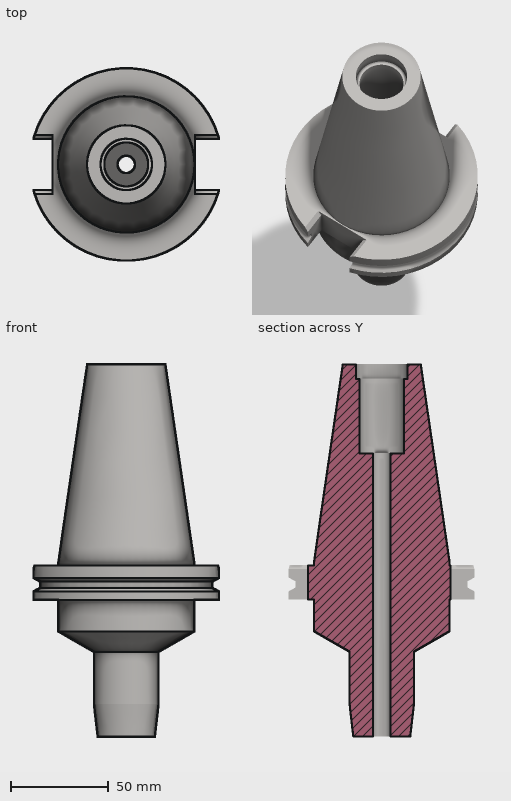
import cadquery as cq
import math

total_height = 190.5
nose_taper_top = 16.5
neck_top = 43.5
collar_bottom = 54.0
flange_bottom = 70.0
flange_top = 87.6
gauge_plane = 88.8

nose_radius = 14.7
neck_radius = 16.5
gauge_radius = 34.9
flange_radius = 49.25
shank_taper = 7 / 24
shank_top_radius = gauge_radius - (total_height - gauge_plane) * shank_taper / 2

groove_radius = 46.0
groove_middle = 77.7
groove_floor_width = 3.2
groove_flank_angle = 60.0
groove_flank_height = (flange_radius - groove_radius) / math.tan(math.radians(groove_flank_angle))

slot_width = 26.0
slot_floor_positions = (-37.7, 35.2)
slot_chamfer = 2.1

recess_radius = 13.1
recess_depth = 7.5
drawbar_radius = 11.2
drawbar_depth = 45.7
through_radius = 4.4


def make_body():
    groove_floor_bottom = groove_middle - groove_floor_width / 2
    groove_floor_top = groove_middle + groove_floor_width / 2
    half_profile = [
        (0, 0),
        (nose_radius, 0),
        (neck_radius, nose_taper_top),
        (neck_radius, neck_top),
        (gauge_radius, collar_bottom),
        (gauge_radius, flange_bottom),
        (flange_radius, flange_bottom),
        (flange_radius, groove_floor_bottom - groove_flank_height),
        (groove_radius, groove_floor_bottom),
        (groove_radius, groove_floor_top),
        (flange_radius, groove_floor_top + groove_flank_height),
        (flange_radius, flange_top),
        (gauge_radius, flange_top),
        (gauge_radius, gauge_plane),
        (shank_top_radius, total_height),
        (0, total_height),
    ]
    return cq.Workplane("XZ").polyline(half_profile).close().revolve(360, (0, 0), (0, 1))


def make_drive_slot(floor_x):
    """Slot with chamfered top edges, open outward from a flat floor at floor_x."""
    half_width = slot_width / 2
    section = [
        (-half_width, flange_bottom),
        (half_width, flange_bottom),
        (half_width, flange_top - slot_chamfer),
        (half_width + slot_chamfer, flange_top),
        (-half_width - slot_chamfer, flange_top),
        (-half_width, flange_top - slot_chamfer),
    ]
    outward_length = math.copysign(flange_radius, floor_x)
    return (
        cq.Workplane("YZ", origin=(floor_x, 0, 0))
        .polyline(section)
        .close()
        .extrude(outward_length)
    )


def make_bore(radius, depth):
    """Axial bore going down from the shank end."""
    return cq.Workplane("XY", origin=(0, 0, total_height)).circle(radius).extrude(-depth)


result = make_body()
for floor_x in slot_floor_positions:
    result = result.cut(make_drive_slot(floor_x))
result = result.cut(make_bore(recess_radius, recess_depth))
result = result.cut(make_bore(drawbar_radius, drawbar_depth))
result = result.cut(make_bore(through_radius, total_height))